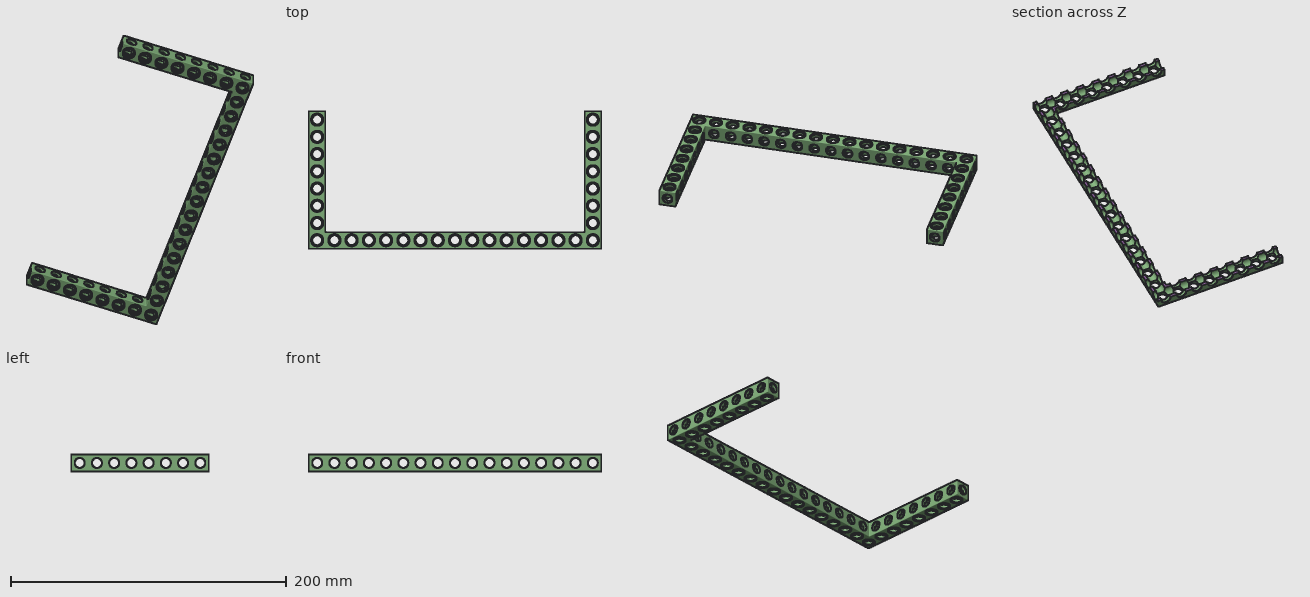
import cadquery as cq
length = 212.5
holes_along_base = 17
holes_along_arm = 8
bar_clearance = 0.28
edge_radius = 0.5
hole_diameter = 7.0
hole_chamfer = 0.25
rim_diameter = 9.1
rim_depth = 0.2
rim_chamfer = 0.2

pitch = length / holes_along_base
depth = holes_along_arm * pitch
height = pitch
bar_width = pitch - bar_clearance
base_x = [(i + 0.5) * pitch - length / 2 for i in range(holes_along_base)]
arm_y = [(i + 0.5) * pitch for i in range(holes_along_arm)]


def frame_body():
    """U-shaped frame, open toward +Y, with every edge rounded."""
    half = length / 2
    inner_half = half - bar_width
    outline = [
        (-half, 0),
        (half, 0),
        (half, depth),
        (inner_half, depth),
        (inner_half, bar_width),
        (-inner_half, bar_width),
        (-inner_half, depth),
        (-half, depth),
    ]
    frame = cq.Workplane("XY").polyline(outline).close().extrude(height / 2, both=True)
    return frame.edges().fillet(edge_radius)


def turned_cutter(half_profile, start, direction):
    """Cutter turned about an axis from start, given as (radius, distance along the axis)."""
    plane = cq.Plane(origin=start, xDir=(direction[1], direction[2], direction[0]), normal=direction)
    flat = cq.Plane(origin=start, xDir=plane.xDir.toTuple(), normal=(plane.yDir * -1).toTuple())
    return cq.Workplane(flat).polyline(half_profile).close().revolve(360, (0, 0), (0, 1)).val()


def chamfered_bore(start, direction, bore_length):
    """Plain hole with a small chamfer at each end."""
    radius = hole_diameter / 2
    mouth = radius + hole_chamfer
    profile = [
        (0, 0),
        (mouth, 0),
        (radius, hole_chamfer),
        (radius, bore_length - hole_chamfer),
        (mouth, bore_length),
        (0, bore_length),
    ]
    return turned_cutter(profile, start, direction)


def rimmed_bore(x, y):
    """Vertical hole with a shallow counterbore and a chamfered bore edge at each end."""
    radius = hole_diameter / 2
    mouth = radius + rim_chamfer
    rim = rim_diameter / 2
    chamfer_end = rim_depth + rim_chamfer
    profile = [
        (0, 0),
        (rim, 0),
        (rim, rim_depth),
        (mouth, rim_depth),
        (radius, chamfer_end),
        (radius, height - chamfer_end),
        (mouth, height - rim_depth),
        (rim, height - rim_depth),
        (rim, height),
        (0, height),
    ]
    return turned_cutter(profile, (x, y, -height / 2), (0, 0, 1))


def vertical_holes():
    """Holes along Z in the base and both arms."""
    points = [(x, arm_y[0]) for x in base_x]
    points += [(x, y) for x in (base_x[0], base_x[-1]) for y in arm_y[1:]]
    return [rimmed_bore(x, y) for x, y in points]


def cross_holes():
    """Holes along Y across the base and along X across the arms.

    The holes at the corners run the whole length of the bar they line up with.
    """
    along_y = (0, 1, 0)
    along_x = (1, 0, 0)
    left = -length / 2
    right_arm_inside = length / 2 - bar_width
    holes = [chamfered_bore((x, 0, 0), along_y, bar_width) for x in base_x[1:-1]]
    holes += [chamfered_bore((x, 0, 0), along_y, depth) for x in (base_x[0], base_x[-1])]
    holes += [chamfered_bore((x, y, 0), along_x, bar_width) for x in (left, right_arm_inside) for y in arm_y[1:]]
    holes.append(chamfered_bore((left, arm_y[0], 0), along_x, length))
    return holes


drilled = frame_body().val().cut(*vertical_holes()).cut(*cross_holes())
result = cq.Workplane(drilled.Solids()[0])